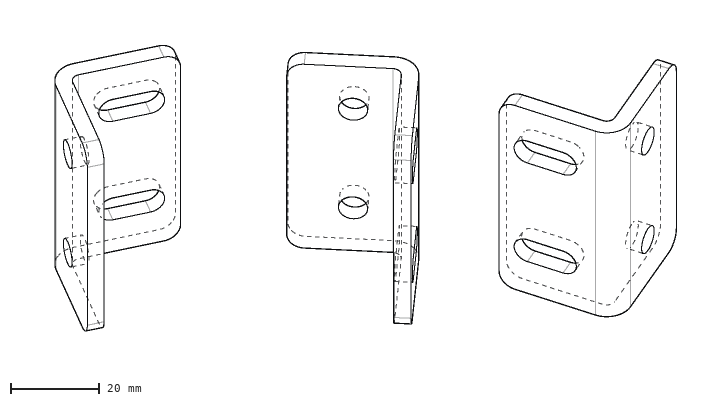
import cadquery as cq

height = 56.0
leg_length = 30.0
thickness = 4.0
inner_bend_radius = 2.0
corner_radius = 4.0
hole_diameter = 6.6
hole_pitch = 30.0
slot_length = 15.5
slot_center_y = 18.5

outer_bend_radius = inner_bend_radius + thickness
hole_center_x = leg_length / 2
opening_heights = [height / 2 - hole_pitch / 2, height / 2 + hole_pitch / 2]


def bent_sheet():
    """L-shaped sheet with concentric bend radii, extruded along Z."""
    sheet = (
        cq.Workplane("XY")
        .polyline([
            (0, 0),
            (leg_length, 0),
            (leg_length, thickness),
            (thickness, thickness),
            (thickness, leg_length),
            (0, leg_length),
        ])
        .close()
        .extrude(height)
    )
    sheet = sheet.edges(cq.NearestToPointSelector((0, 0, height / 2))).fillet(outer_bend_radius)
    inner_edge = cq.NearestToPointSelector((thickness, thickness, height / 2))
    return sheet.edges(inner_edge).fillet(inner_bend_radius)


def round_free_corners(sheet):
    """Round the top and bottom corners at the free end of each leg."""
    sheet = sheet.faces(">X").edges("|Y").fillet(corner_radius)
    return sheet.faces(">Y").edges("|X").fillet(corner_radius)


holes = (
    cq.Workplane("XZ")
    .pushPoints([(hole_center_x, z) for z in opening_heights])
    .circle(hole_diameter / 2)
    .extrude(-thickness)
)

slots = (
    cq.Workplane("YZ")
    .pushPoints([(slot_center_y, z) for z in opening_heights])
    .slot2D(slot_length, hole_diameter)
    .extrude(thickness)
)

result = round_free_corners(bent_sheet()).cut(holes).cut(slots)